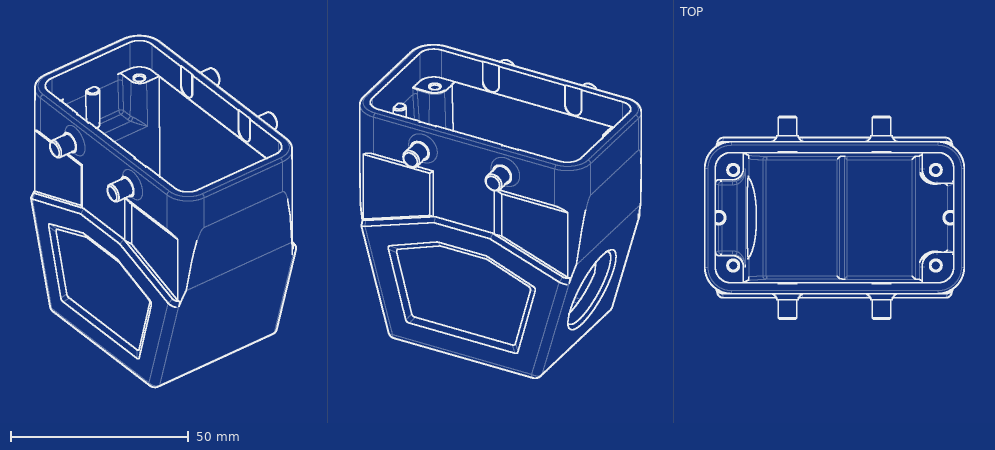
import cadquery as cq
import math


length = 73.0
pin_span = 57.0
height = 72.0
collar_width = 42.6
body_width = 45.1
collar_corner = 7.45
collar_depth = 38.7
rim_round = 0.9
wall = 3.0

upper_slope_depth = 11.25
lower_slope_depth = 32.1
upper_slope_inset = 1.8
slope_angle = 15.0
slope_run = math.tan(math.radians(slope_angle))
end_x = length / 2
lower_slope_x = end_x - upper_slope_inset
floor_end_x = lower_slope_x - (height - lower_slope_depth) * slope_run

body_round = 2.2
shoulder_flat = 9.2
shoulder_depth = 27.9
shoulder_fall = math.tan(math.radians(19.2))
shoulder_bevel = (body_width - collar_width) / 2

panel_x = 9.8
panel_depth = 13.1
panel_sink = 1.0
panel_taper = 60.0
panel_overrun = 43.8

label_top_flat = 7.8
label_top_depth = 35.1
label_side_x = 23.8
label_side_depth = 41.1
label_bottom_x = 17.8
label_bottom_depth = 64.45
label_sink = 1.0
label_corner = 2.2

pin_x = 13.2
pin_depth = 6.5
pin_radius = 2.6
pin_chamfer = 0.45
pin_collar_radius = 3.0
pin_collar_reach = 1.75
pin_foot_radius = 4.6
pin_flare_sag = 0.5
groove_sink = 0.2

mouth_width = collar_width - 2 * wall
mouth_corner = collar_corner - wall
pad_depth = 9.2
cavity_draft = 1.0
cavity_top_width = 36.5
cavity_round = 0.95
column_x = 25.6
column_y = 10.65
column_corner = 3.1
column_draft = 2.0
column_root = 0.95
floor_depth = 69.0
high_floor_depth = 66.4
floor_step_x = 1.1
floor_step_length = 1.9

ledge_depth = 21.9
ledge_round = 2.3
thick_wall_depth = 54.0

entry_radius = 11.6
entry_chamfer = 1.1
entry_depth = 52.0
entry_length = 8.75
entry_bottom_depth = entry_depth + entry_radius

screw_x = 28.5
screw_y = 13.4
screw_radius = 1.4
screw_chamfer = 0.4
screw_length = 14.6
post_x = 32.55
post_radius = 2.0
post_chamfer = 0.4
post_top_depth = pad_depth + 0.5


def outer_x(depth):
    """Half length of the outside at a depth below the rim."""
    if depth <= upper_slope_depth:
        return end_x
    if depth <= lower_slope_depth:
        share = (depth - upper_slope_depth) / (lower_slope_depth - upper_slope_depth)
        return end_x - upper_slope_inset * share
    return lower_slope_x - (depth - lower_slope_depth) * slope_run


def inner_x(depth):
    """Half length of the cavity at a depth below the rim."""
    return outer_x(depth) - wall


def column_face_x(depth):
    """Inner face of the drafted screw columns at a depth below the rim."""
    return column_x - (depth - pad_depth) * math.tan(math.radians(column_draft))


def side_prism(points, width):
    """Prism with an X-Z outline, centred on Y = 0."""
    return cq.Workplane("XZ").polyline(points).close().extrude(width / 2, both=True)


def both_sides(feature):
    """A feature on one Y side together with its mirror image on the other."""
    return feature.union(feature.mirror("XZ"))


def mirrored_outline(right_half):
    """Close an outline about X = 0 from its right half."""
    return right_half + [(-x, z) for x, z in reversed(right_half)]


def side_panels():
    """Sunk flats with sloping borders, two on each side of the collar."""
    centre_x = panel_x + panel_overrun / 2
    centre_z = -panel_depth - panel_overrun / 2
    panels = (
        cq.Workplane("XZ", origin=(0, -collar_width / 2, 0))
        .pushPoints([(-centre_x, centre_z), (centre_x, centre_z)])
        .rect(panel_overrun, panel_overrun)
        .extrude(-panel_sink, taper=panel_taper)
    )
    return both_sides(panels)


def collar():
    """Upper shell: rounded box trimmed by the sloping end walls."""
    box = (
        cq.Workplane("XY")
        .rect(length, collar_width)
        .extrude(-collar_depth)
        .edges("|Z").fillet(collar_corner)
        .faces(">Z").edges().fillet(rim_round)
    )
    ends = side_prism(
        mirrored_outline([
            (end_x, 0),
            (end_x, -upper_slope_depth),
            (lower_slope_x, -lower_slope_depth),
            (floor_end_x, -height),
        ]),
        body_width,
    )
    return box.intersect(ends).cut(side_panels())


def lower_body():
    """Wider lower body with a roof-shaped, bevelled shoulder."""
    end_x_at_shoulder = lower_slope_x + (lower_slope_depth - shoulder_depth) * slope_run
    corner_run = (end_x_at_shoulder - shoulder_flat) / (1 + shoulder_fall * slope_run)
    outline = mirrored_outline([
        (shoulder_flat, -shoulder_depth),
        (shoulder_flat + corner_run, -shoulder_depth - corner_run * shoulder_fall),
        (floor_end_x, -height),
    ])
    body = side_prism(outline, body_width)
    shoulder_zone = cq.selectors.BoxSelector(
        (-end_x, -body_width, -label_side_depth), (end_x, body_width, 0)
    )
    body = body.edges("#Y").edges(shoulder_zone).chamfer(shoulder_bevel)
    return body.faces("<X or >X").edges("not |Y").add(body.faces("<Z").edges()).fillet(body_round)


def label_recess():
    """Sunk five-sided field with sloping borders on both broad faces."""
    outline = mirrored_outline([
        (label_top_flat, -label_top_depth),
        (label_side_x, -label_side_depth),
        (label_bottom_x, -label_bottom_depth),
    ])
    recess = (
        cq.Workplane("XZ", origin=(0, -body_width / 2, 0))
        .polyline(outline).close()
        .extrude(-label_sink, taper=panel_taper)
    )
    lower_corners = cq.selectors.BoxSelector(
        (-end_x, -body_width, -height), (end_x, body_width, 0.7 - label_side_depth)
    )
    recess = recess.edges("not #Y").edges(lower_corners).fillet(label_corner)
    return both_sides(recess)


def locking_pins():
    """Four pins with flared feet on the collar walls."""
    wall_y = collar_width / 2 - rim_round
    foot_y = collar_width / 2
    collar_y = foot_y + pin_collar_reach
    tip_y = pin_span / 2
    flare_middle = (
        (pin_foot_radius + pin_collar_radius - pin_flare_sag) / 2,
        (foot_y + collar_y - pin_flare_sag) / 2,
    )
    pin = (
        cq.Workplane("XY")
        .moveTo(0, wall_y)
        .lineTo(pin_foot_radius, wall_y)
        .lineTo(pin_foot_radius, foot_y)
        .threePointArc(flare_middle, (pin_collar_radius, collar_y))
        .lineTo(pin_radius, collar_y)
        .lineTo(pin_radius, tip_y - pin_chamfer)
        .lineTo(pin_radius - pin_chamfer, tip_y)
        .lineTo(0, tip_y)
        .close()
        .revolve(360, (0, 0, 0), (0, 1, 0))
        .translate((0, 0, -pin_depth))
    )
    pair = pin.translate((-pin_x, 0, 0)).union(pin.translate((pin_x, 0, 0)))
    return both_sides(pair)


def mouth():
    """Rounded opening from the rim down to the screw column tops."""
    return (
        cq.Workplane("XY")
        .rect(2 * inner_x(0), mouth_width)
        .extrude(-pad_depth)
        .edges("|Z").fillet(mouth_corner)
    )


def screw_columns():
    """Four drafted corner columns, rounded on their inward corners."""
    column = (
        cq.Workplane("XY", origin=(0, 0, -pad_depth))
        .moveTo(column_x, collar_width)
        .lineTo(column_x, column_y + column_corner)
        .radiusArc((column_x + column_corner, column_y), -column_corner)
        .lineTo(length, column_y)
        .lineTo(length, collar_width)
        .close()
        .extrude(-height, taper=-column_draft)
    )
    columns = column.union(column.mirror("YZ"))
    return both_sides(columns)


def blend_column_roots(hollow):
    """Round the hollow where the columns and the ledge meet the walls."""
    middle_depth = (pad_depth + ledge_depth) / 2
    near_points = [(-inner_x(ledge_depth), 0, -ledge_depth)]
    for y_side in (-1, 1):
        wall_y = y_side * cavity_top_width / 2
        for x_side in (-1, 1):
            near_points.append((x_side * inner_x(middle_depth), y_side * column_y, -middle_depth))
        near_points.append((column_x, wall_y, -middle_depth))
        near_points.append((column_root - column_x, wall_y, -entry_bottom_depth))
        near_points.append((-inner_x(ledge_depth) + column_root, y_side * column_y, -ledge_depth))
    roots = [hollow.edges(cq.selectors.NearestToPointSelector(point)).val() for point in near_points]
    return hollow.newObject(roots).fillet(column_root)


def lower_cavity():
    """Drafted hollow below the mouth, leaving the columns and the thick entry end."""
    thick_face_x = column_face_x(thick_wall_depth)
    thick_floor_x = thick_face_x - (floor_depth - thick_wall_depth) * slope_run
    profile = side_prism(
        [
            (-inner_x(pad_depth), -pad_depth),
            (-inner_x(upper_slope_depth), -upper_slope_depth),
            (-inner_x(ledge_depth), -ledge_depth),
            (-column_face_x(ledge_depth), -ledge_depth),
            (-thick_face_x, -thick_wall_depth),
            (-thick_floor_x, -floor_depth),
            (floor_step_x, -floor_depth),
            (floor_step_x + floor_step_length, -high_floor_depth),
            (inner_x(high_floor_depth), -high_floor_depth),
            (inner_x(lower_slope_depth), -lower_slope_depth),
            (inner_x(upper_slope_depth), -upper_slope_depth),
            (inner_x(pad_depth), -pad_depth),
        ],
        body_width,
    )
    ledge_lip = cq.selectors.NearestToPointSelector((-column_face_x(ledge_depth), 0, -ledge_depth))
    profile = profile.edges("|Y").edges(ledge_lip).fillet(ledge_round)

    draft_run = (height - pad_depth) * math.tan(math.radians(cavity_draft))
    top_y = cavity_top_width / 2
    drafted = (
        cq.Workplane("YZ")
        .polyline([
            (-top_y, -pad_depth),
            (top_y, -pad_depth),
            (top_y - draft_run, -height),
            (draft_run - top_y, -height),
        ])
        .close()
        .extrude(length, both=True)
    )
    hollow = blend_column_roots(profile.intersect(drafted).cut(screw_columns()))
    floors = cq.selectors.BoxSelector((-length, -length, -height), (length, length, -thick_wall_depth))
    return hollow.faces("-Z").faces(floors).edges().fillet(cavity_round)


def pin_grooves():
    """Shallow round-ended grooves in the mouth wall behind the pins."""
    groove = (
        cq.Workplane("XZ", origin=(0, mouth_width / 2 + groove_sink, 0))
        .moveTo(-pin_radius, 0)
        .lineTo(-pin_radius, -pin_depth)
        .threePointArc((0, -pin_depth - pin_radius), (pin_radius, -pin_depth))
        .lineTo(pin_radius, 0)
        .close()
        .extrude(2 * groove_sink)
    )
    pair = groove.translate((-pin_x, 0, 0)).union(groove.translate((pin_x, 0, 0)))
    return both_sides(pair)


def cable_entry():
    """Chamfered hole square to the steep -X end wall."""
    tilt = math.radians(slope_angle)
    face = cq.Plane(
        origin=(-outer_x(entry_depth), 0, -entry_depth),
        xDir=(0, 1, 0),
        normal=(math.cos(tilt), 0, math.sin(tilt)),
    )
    bore = cq.Workplane(face).circle(entry_radius).extrude(entry_length)
    entry_cone = (
        cq.Workplane(face)
        .circle(entry_radius + entry_chamfer)
        .workplane(offset=entry_chamfer)
        .circle(entry_radius)
        .loft()
    )
    return bore.union(entry_cone)


def screw_holes():
    """Blind holes with a small countersink in the column tops."""
    centres = (
        cq.Workplane("XY", origin=(0, 0, -pad_depth))
        .rect(2 * screw_x, 2 * screw_y, forConstruction=True)
        .vertices()
    )
    holes = centres.circle(screw_radius).extrude(-screw_length)
    countersinks = centres.circle(screw_radius + screw_chamfer).extrude(-screw_chamfer, taper=45)
    return holes.union(countersinks)


def guide_posts():
    """Half-round posts on the middle of both end walls, kept inside the outer shell."""
    def post(side, foot_depth):
        return (
            cq.Workplane("XY", origin=(side * post_x, 0, -foot_depth))
            .circle(post_radius)
            .extrude(foot_depth - post_top_depth)
            .faces(">Z").edges().chamfer(post_chamfer)
        )

    posts = post(-1, ledge_depth + 0.7).union(post(1, collar_depth))
    return posts.intersect(collar())


shell = collar().union(lower_body()).cut(label_recess()).union(locking_pins())
shell = shell.cut(mouth()).cut(lower_cavity()).cut(pin_grooves())
result = shell.union(guide_posts()).cut(cable_entry()).cut(screw_holes())